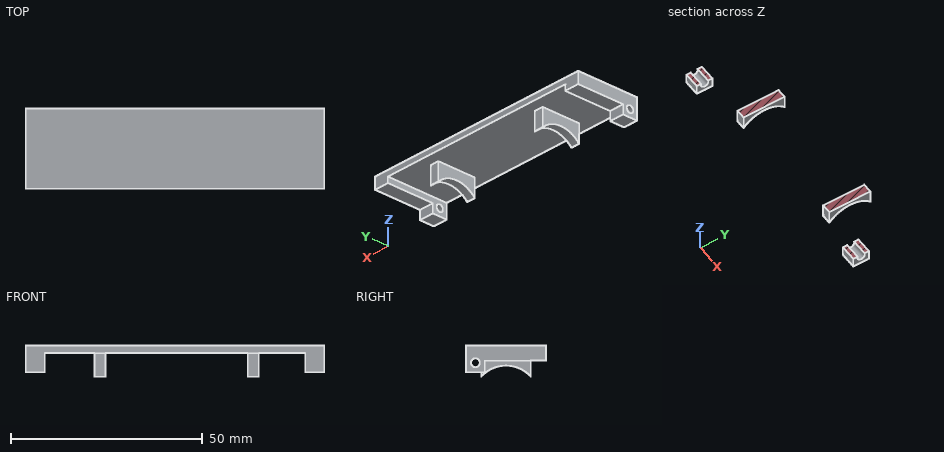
import cadquery as cq

length = 78.0
width = 21.0
plate_thickness = 2.0
total_height = 8.2

block_size = 5.0
hole_diameter = 2.3

ledge_height = 1.95

rib_thickness = 3.0
rib_width = 13.0
rib_front = 4.0
rib_depth = total_height - plate_thickness
arch_rise = 2.9
first_rib_start = 17.95
rib_spacing = 40.0


def box_below(x_start, y_start, x_size, y_size, depth):
    """Box hanging from the plate underside."""
    return cq.Workplane("XY").box(x_size, y_size, depth, centered=False).translate((x_start, y_start, -depth))


def hinge_end(x_start):
    """Block with a through hole along X, plus the ledge behind it."""
    block = box_below(x_start, 0, block_size, block_size, block_size)
    hole = (
        cq.Workplane("YZ", origin=(x_start, 0, 0))
        .center(block_size / 2, -block_size / 2)
        .circle(hole_diameter / 2)
        .extrude(block_size)
    )
    ledge = box_below(x_start, block_size, block_size, width - block_size, ledge_height)
    return block.cut(hole).union(ledge)


def saddle_rib(x_start):
    """Cross rib whose arch runs between its two lower corners."""
    rib_back = rib_front + rib_width
    return (
        cq.Workplane("YZ", origin=(x_start, 0, 0))
        .moveTo(rib_front, 0)
        .lineTo(rib_front, -rib_depth)
        .threePointArc((rib_front + rib_width / 2, arch_rise - rib_depth), (rib_back, -rib_depth))
        .lineTo(rib_back, 0)
        .close()
        .extrude(rib_thickness)
    )


result = cq.Workplane("XY").box(length, width, plate_thickness, centered=False)

for end_start in (0, length - block_size):
    result = result.union(hinge_end(end_start))

for rib_start in (first_rib_start, first_rib_start + rib_spacing):
    result = result.union(saddle_rib(rib_start))